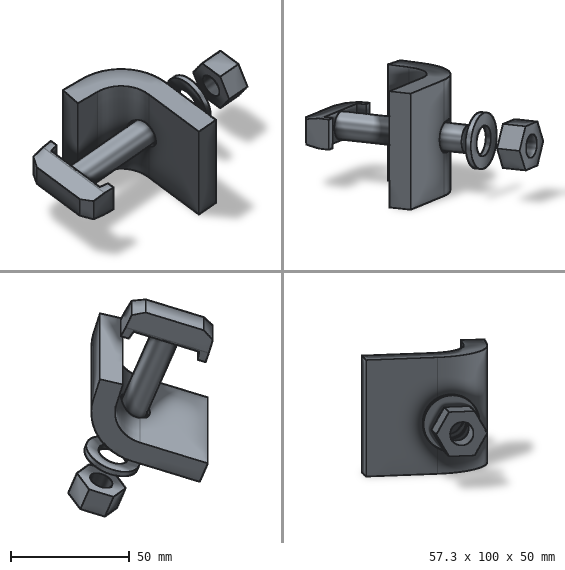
import cadquery as cq
import math


nut_flats = 19.0
nut_thickness = 10.7
nut_bore = 10.0
nut_back_y = 100.0

washer_diameter = 24.0
washer_bore = 13.0
washer_thickness = 2.5
washer_front_y = 75.0

shank_diameter = 12.0
shank_end_y = 70.0
lip_y = 14.0
seat_y = 10.0
taper_start_y = 9.0
corner_y = 3.0
lip_outer_half = 19.0
lip_inner_half = 15.5
seat_half = 14.7
corner_half = 18.2
base_half = 13.0
head_height = 13.0
head_base_height = 10.0

plate_thickness = 10.0
plate_height = 50.0
plate_back_y = 60.0
bend_x = 2.8
bend_angle = 85.0
bend_inner_radius = 16.0
bend_outer_radius = bend_inner_radius + plate_thickness
long_leg = 30.5
short_leg = 10.5
hole_diameter = 13.5
hole_tilt = 23.0


def cylinder_along_y(diameter, start_y, end_y):
    """Solid cylinder on the bolt axis."""
    return cq.Workplane("XZ", origin=(0, start_y, 0)).circle(diameter / 2).extrude(start_y - end_y)


def make_nut():
    corner_diameter = nut_flats / math.cos(math.radians(30))
    front_y = nut_back_y - nut_thickness
    blank = (
        cq.Workplane("XZ", origin=(0, nut_back_y, 0))
        .polygon(6, corner_diameter)
        .extrude(nut_thickness)
    )
    return blank.cut(cylinder_along_y(nut_bore, front_y, nut_back_y))


def make_washer():
    back_y = washer_front_y + washer_thickness
    disc = cylinder_along_y(washer_diameter, washer_front_y, back_y)
    return disc.cut(cylinder_along_y(washer_bore, washer_front_y, back_y))


def make_bolt():
    right_side = [
        (base_half, 0),
        (corner_half, corner_y),
        (lip_outer_half, lip_y),
        (lip_inner_half, lip_y),
        (seat_half, seat_y),
    ]
    left_side = [(-x, y) for x, y in reversed(right_side)]
    plan = cq.Workplane("XY").polyline(right_side + left_side).close().extrude(head_height / 2, both=True)

    upper_side = [
        (0, head_base_height / 2),
        (taper_start_y, head_height / 2),
        (lip_y, head_height / 2),
    ]
    lower_side = [(y, -z) for y, z in reversed(upper_side)]
    side = cq.Workplane("YZ").polyline(upper_side + lower_side).close().extrude(lip_outer_half, both=True)

    shank = cylinder_along_y(shank_diameter, seat_y, shank_end_y)
    return plan.intersect(side).union(shank)


def make_clamp():
    bend_y = plate_back_y - bend_outer_radius

    def bend_point(radius, degrees, leg=0.0):
        """Point at a turn angle around the bend, moved on along the short leg."""
        angle = math.radians(degrees)
        x = bend_x - radius * math.sin(angle) - leg * math.cos(angle)
        y = bend_y + radius * math.cos(angle) - leg * math.sin(angle)
        return (x, y)

    plate_end_x = bend_x + long_leg
    plate = (
        cq.Workplane("XY")
        .moveTo(plate_end_x, plate_back_y)
        .lineTo(*bend_point(bend_outer_radius, 0))
        .threePointArc(
            bend_point(bend_outer_radius, bend_angle / 2),
            bend_point(bend_outer_radius, bend_angle),
        )
        .lineTo(*bend_point(bend_outer_radius, bend_angle, short_leg))
        .lineTo(*bend_point(bend_inner_radius, bend_angle, short_leg))
        .lineTo(*bend_point(bend_inner_radius, bend_angle))
        .threePointArc(
            bend_point(bend_inner_radius, bend_angle / 2),
            bend_point(bend_inner_radius, 0),
        )
        .lineTo(plate_end_x, plate_back_y - plate_thickness)
        .close()
        .extrude(plate_height / 2, both=True)
    )

    inner_face_y = plate_back_y - plate_thickness
    reach = bend_inner_radius
    straight_hole = cylinder_along_y(hole_diameter, inner_face_y - reach, inner_face_y + reach)
    tilted_hole = straight_hole.rotate((0, inner_face_y, 0), (0, inner_face_y, 1), hole_tilt)

    wedge = (
        cq.Workplane("XY")
        .moveTo(0, inner_face_y)
        .lineTo(0, inner_face_y + reach)
        .lineTo(-reach * math.tan(math.radians(hole_tilt)), inner_face_y + reach)
        .close()
        .extrude(hole_diameter / 2, both=True)
    )
    return plate.cut(straight_hole).cut(tilted_hole).cut(wedge)


nut = make_nut()
washer = make_washer()
bolt = make_bolt()
clamp = make_clamp()

result = cq.Compound.makeCompound([nut.val(), washer.val(), bolt.val(), clamp.val()])